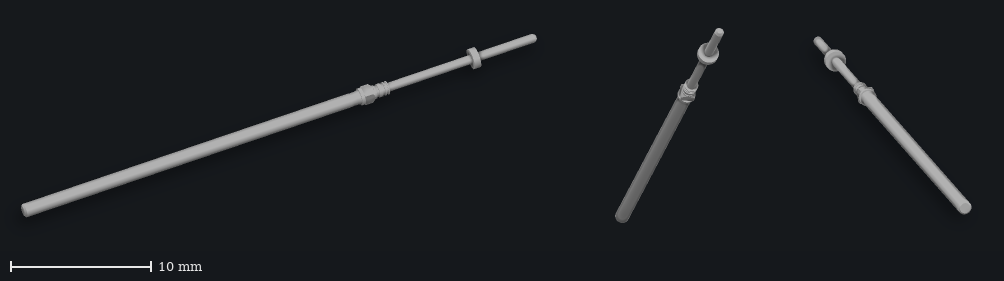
import cadquery as cq

total_length = 39.7

rod_diameter = 0.65
rod_exposed_length = 11.5
rod_tip_chamfer_length = 0.2
rod_tip_chamfer_depth = 0.15
disc_diameter = 1.5
disc_thickness = 0.5
disc_setback = 4.55

barrel_diameter = 1.0
barrel_length = 25.2
barrel_tip_chamfer = 0.12

head_core_diameter = 0.86
rib_diameter = barrel_diameter
ribs = [(0.0, 0.08), (0.24, 0.08), (0.5, 0.26)]

collar_setback = 0.97
collar_length = 0.13
square_side = barrel_diameter
square_end_chamfer = 0.22
flange_setback = 1.92
flange_diameter = 1.25
flange_thickness = 0.25

waist_diameter = 0.955
neck_flange_end_diameter = 1.06
waist_setback = 2.75

y_rod_tip = total_length / 2
y_barrel_tip = -total_length / 2
y_barrel_end = y_barrel_tip + barrel_length
y_head = y_rod_tip - rod_exposed_length
y_disc = y_rod_tip - disc_setback
y_collar = y_head - collar_setback
y_square = y_collar - collar_length
y_flange = y_head - flange_setback
y_neck_end = y_flange - flange_thickness
y_waist = y_head - waist_setback


def cylinder(diameter, y_high, length):
    """Cylinder on the Y axis running from y_high toward -Y."""
    return cq.Workplane("XZ", origin=(0, y_high, 0)).circle(diameter / 2).extrude(length)


def make_rod():
    """Rod from inside the head out to its chamfered tip, with the stop disc."""
    rod = cylinder(rod_diameter, y_rod_tip, y_rod_tip - y_square)
    rod = rod.faces(">Y").chamfer(rod_tip_chamfer_length, rod_tip_chamfer_depth)
    return rod.union(cylinder(disc_diameter, y_disc, disc_thickness))


def make_barrel():
    """Long barrel with a chamfered tip."""
    barrel = cylinder(barrel_diameter, y_barrel_end, barrel_length)
    return barrel.faces("<Y").chamfer(barrel_tip_chamfer)


def make_ribbed_head():
    """Core with raised ribs and the collar ahead of the square."""
    head = cylinder(head_core_diameter, y_head, y_head - y_square)
    for setback, thickness in ribs:
        head = head.union(cylinder(rib_diameter, y_head - setback, thickness))
    return head.union(cylinder(barrel_diameter, y_collar, collar_length))


def make_square():
    """Square section whose rod-side corners are turned down by a cone."""
    length = y_square - y_flange
    diagonal = square_side * 2 ** 0.5
    square = cq.Workplane("XZ", origin=(0, y_square, 0)).rect(square_side, square_side).extrude(length)
    turned_blank = cylinder(diagonal, y_square, length).faces(">Y").chamfer(square_end_chamfer)
    return square.intersect(turned_blank)


def make_neck():
    """Neck turned from one shallow concave arc running from the barrel to the flange."""
    barrel_end = (barrel_diameter / 2, y_barrel_end)
    waist = (waist_diameter / 2, y_waist)
    flange_end = (neck_flange_end_diameter / 2, y_neck_end)
    profile = (
        cq.Workplane("XY")
        .moveTo(0, y_barrel_end)
        .lineTo(*barrel_end)
        .threePointArc(waist, flange_end)
        .lineTo(0, y_neck_end)
        .close()
    )
    return profile.revolve(360, (0, 0, 0), (0, 1, 0))


result = make_barrel()
result = result.union(make_neck())
result = result.union(cylinder(flange_diameter, y_flange, flange_thickness))
result = result.union(make_square())
result = result.union(make_ribbed_head())
result = result.union(make_rod())